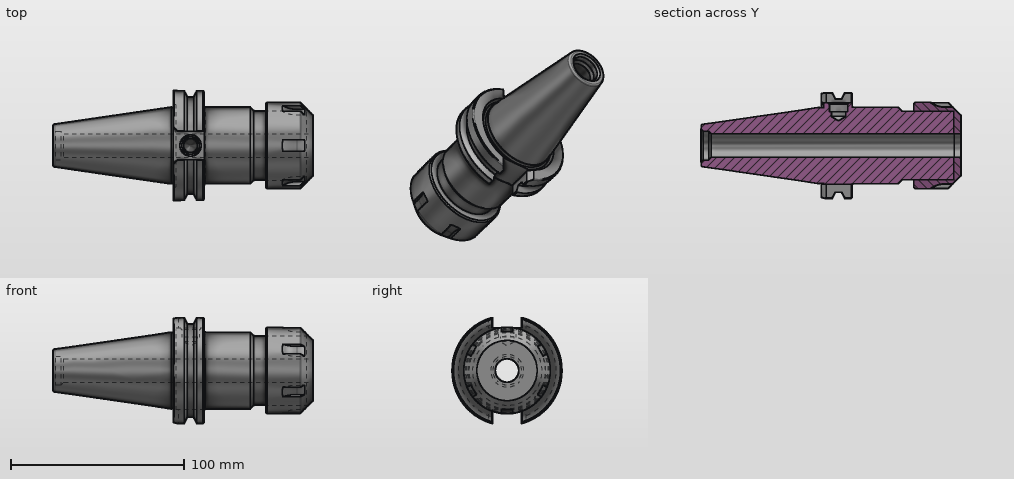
import cadquery as cq
import math

gauge_x = 68.25
flange_start_x = 69.3
groove_centre_x = gauge_x + 11.1
flange_end_x = gauge_x + 19.05
body_end_x = 113.7
nut_start_x = 122.7
cone_start_x = 142.6
overall_length = 150.05

gauge_diameter = 44.45
taper_ratio = 7 / 24
small_end_diameter = gauge_diameter - gauge_x * taper_ratio
small_end_fillet = 1.2
taper_relief_diameter = 43.94

flange_diameter = 63.5
flange_rear_fillet = 0.6
flange_front_chamfer = 0.9
groove_floor_diameter = 56.3
groove_floor_width = 3.6
groove_wall_angle = 27.5
recess_outer_diameter = 49.8
recess_floor_diameter = 47.0
recess_depth = (recess_outer_diameter - recess_floor_diameter) / 2
recess_floor_x = flange_start_x + recess_depth

slot_width = 16.2
slot_edge_chamfer = 0.6
slot_entry_width = 21.4
slot_entry_length = 2.9
upper_slot_floor = 24.75
lower_slot_floor = 22.4

radial_mouth_diameter = 12.3
radial_hole_diameter = 10.13
radial_hole_depth = 5.2
radial_pilot_diameter = 8.0
radial_pilot_depth = 8.0
drill_tip_angle = 118

body_diameter = 44.45
body_root_fillet = 0.5
neck_diameter = 40.0

bore_diameter = 13.39
pilot_diameter = 16.46
pilot_depth = 4.5
pilot_cone_length = (pilot_diameter - bore_diameter) / 2
mouth_diameter = 18.92
mouth_depth = (mouth_diameter - pilot_diameter) / 2

nut_diameter = 50.0
nut_rear_chamfer = 0.9
nut_end_diameter = 34.8
nut_shoulder_fillet = 0.7
nut_lip_thickness = 4.0
nose_end_x = overall_length - nut_lip_thickness

spanner_slot_count = 6
spanner_slot_width = 6.4
spanner_slot_start_x = 132.3
spanner_slot_flat_x = 140.5
spanner_slot_floor = 22.25
spanner_slot_rise = nut_diameter / 2 - spanner_slot_floor
spanner_slot_runout = spanner_slot_flat_x - spanner_slot_start_x
cutter_radius = (spanner_slot_runout**2 + spanner_slot_rise**2) / (2 * spanner_slot_rise)


def revolve_about_x(outline):
    """Turn a closed outline of the XY plane, Y being the radius, once around the X axis."""
    return outline.close().revolve(360, (0, 0, 0), (1, 0, 0))


def axial_cylinder(diameter, start_x, end_x):
    return cq.Workplane("YZ").workplane(offset=start_x).circle(diameter / 2).extrude(end_x - start_x)


def taper_blank():
    taper = revolve_about_x(
        cq.Workplane("XY")
        .lineTo(0, small_end_diameter / 2)
        .lineTo(gauge_x, gauge_diameter / 2)
        .lineTo(gauge_x, 0)
    )
    return taper.faces("<X").edges().fillet(small_end_fillet)


def flange_blank():
    flange = axial_cylinder(flange_diameter, flange_start_x, flange_end_x)
    flange = flange.faces("<X").edges().fillet(flange_rear_fillet)
    flange = flange.faces(">X").edges().chamfer(flange_front_chamfer)
    return flange.cut(gripper_groove()).cut(taper_recess())


def gripper_groove():
    floor_half_width = groove_floor_width / 2
    groove_depth = (flange_diameter - groove_floor_diameter) / 2
    mouth_half_width = floor_half_width + groove_depth * math.tan(math.radians(groove_wall_angle))
    return revolve_about_x(
        cq.Workplane("XY")
        .moveTo(groove_centre_x - mouth_half_width, flange_diameter / 2)
        .lineTo(groove_centre_x - floor_half_width, groove_floor_diameter / 2)
        .lineTo(groove_centre_x + floor_half_width, groove_floor_diameter / 2)
        .lineTo(groove_centre_x + mouth_half_width, flange_diameter / 2)
    )


def taper_recess():
    return revolve_about_x(
        cq.Workplane("XY")
        .moveTo(flange_start_x, 0)
        .lineTo(flange_start_x, recess_outer_diameter / 2)
        .lineTo(recess_floor_x, recess_floor_diameter / 2)
        .lineTo(recess_floor_x, 0)
    )


def front_blank():
    """Body with a filleted root at the flange, a 45 degree shoulder, the neck and the nose."""
    body_radius = body_diameter / 2
    neck_radius = neck_diameter / 2
    return revolve_about_x(
        cq.Workplane("XY")
        .moveTo(flange_end_x, 0)
        .lineTo(flange_end_x, body_radius + body_root_fillet)
        .radiusArc((flange_end_x + body_root_fillet, body_radius), -body_root_fillet)
        .lineTo(body_end_x, body_radius)
        .lineTo(body_end_x + body_radius - neck_radius, neck_radius)
        .lineTo(nose_end_x, neck_radius)
        .lineTo(nose_end_x, 0)
    )


def drive_slot(floor_radius):
    """Cutter for the slot on the +Z side: a flared entry, parallel walls, chamfered top and exit edges."""
    slot_length = flange_end_x - flange_start_x
    slot_height = flange_diameter / 2 - floor_radius
    half_width = slot_width / 2
    entry_half_width = slot_entry_width / 2
    exit_half_width = half_width + slot_edge_chamfer
    exit_start_x = flange_end_x - slot_edge_chamfer
    entry_end_x = flange_start_x + slot_entry_length
    slot = (
        cq.Workplane("XY")
        .workplane(offset=floor_radius)
        .moveTo(flange_start_x, -entry_half_width)
        .lineTo(entry_end_x, -half_width)
        .lineTo(exit_start_x, -half_width)
        .lineTo(flange_end_x, -exit_half_width)
        .lineTo(flange_end_x, exit_half_width)
        .lineTo(exit_start_x, half_width)
        .lineTo(entry_end_x, half_width)
        .lineTo(flange_start_x, entry_half_width)
        .close()
        .extrude(slot_height)
    )
    rim_height = math.sqrt((flange_diameter / 2) ** 2 - half_width**2)
    edge_bevel = (
        cq.Workplane("YZ")
        .workplane(offset=flange_start_x)
        .moveTo(-half_width, rim_height - slot_edge_chamfer)
        .lineTo(half_width, rim_height - slot_edge_chamfer)
        .lineTo(half_width + 2 * slot_edge_chamfer, rim_height + slot_edge_chamfer)
        .lineTo(-half_width - 2 * slot_edge_chamfer, rim_height + slot_edge_chamfer)
        .close()
        .extrude(slot_length)
    )
    return slot.union(edge_bevel)


def radial_hole():
    """Cutter for the countersunk, stepped hole with a drill tip, entering from +Z."""
    mouth_radius = radial_mouth_diameter / 2
    hole_radius = radial_hole_diameter / 2
    pilot_radius = radial_pilot_diameter / 2
    tip_length = pilot_radius / math.tan(math.radians(drill_tip_angle / 2))
    return (
        cq.Workplane("XZ")
        .lineTo(mouth_radius, 0)
        .lineTo(hole_radius, hole_radius - mouth_radius)
        .lineTo(hole_radius, -radial_hole_depth)
        .lineTo(pilot_radius, -radial_hole_depth)
        .lineTo(pilot_radius, -radial_pilot_depth)
        .lineTo(0, -radial_pilot_depth - tip_length)
        .close()
        .revolve(360, (0, 0, 0), (0, 1, 0))
        .translate((groove_centre_x, 0, upper_slot_floor))
    )


def axial_bore():
    return revolve_about_x(
        cq.Workplane("XY")
        .lineTo(0, mouth_diameter / 2)
        .lineTo(mouth_depth, pilot_diameter / 2)
        .lineTo(pilot_depth, pilot_diameter / 2)
        .lineTo(pilot_depth + pilot_cone_length, bore_diameter / 2)
        .lineTo(overall_length, bore_diameter / 2)
        .lineTo(overall_length, 0)
    )


def make_holder():
    holder = (
        taper_blank()
        .union(axial_cylinder(taper_relief_diameter, gauge_x, recess_floor_x))
        .union(flange_blank())
        .union(front_blank())
    )
    lower_slot = drive_slot(lower_slot_floor).rotate((0, 0, 0), (1, 0, 0), 180)
    return holder.cut(drive_slot(upper_slot_floor)).cut(lower_slot).cut(radial_hole()).cut(axial_bore())


def spanner_slot():
    """Cutter for the slot on the +Z side: a flat floor with a cutter run-out towards the flange."""
    return (
        cq.Workplane("XZ")
        .moveTo(spanner_slot_start_x, nut_diameter / 2)
        .radiusArc((spanner_slot_flat_x, spanner_slot_floor), -cutter_radius)
        .lineTo(overall_length, spanner_slot_floor)
        .lineTo(overall_length, nut_diameter / 2)
        .close()
        .extrude(spanner_slot_width / 2, both=True)
    )


def make_nut():
    nut_radius = nut_diameter / 2
    nut = revolve_about_x(
        cq.Workplane("XY")
        .moveTo(nut_start_x, neck_diameter / 2)
        .lineTo(nut_start_x, nut_radius - nut_rear_chamfer)
        .lineTo(nut_start_x + nut_rear_chamfer, nut_radius)
        .lineTo(cone_start_x, nut_radius)
        .lineTo(overall_length, nut_end_diameter / 2)
        .lineTo(overall_length, bore_diameter / 2)
        .lineTo(nose_end_x, bore_diameter / 2)
        .lineTo(nose_end_x, neck_diameter / 2)
    )
    shoulder_edge = cq.selectors.BoxSelector(
        (cone_start_x - nut_shoulder_fillet, -nut_diameter, -nut_diameter),
        (cone_start_x + nut_shoulder_fillet, nut_diameter, nut_diameter),
    )
    nut = nut.edges(shoulder_edge).edges("%CIRCLE").fillet(nut_shoulder_fillet)
    for index in range(spanner_slot_count):
        angle = index * 360 / spanner_slot_count
        nut = nut.cut(spanner_slot().rotate((0, 0, 0), (1, 0, 0), angle))
    return nut


holder = make_holder()
nut = make_nut()
result = cq.Compound.makeCompound([holder.val(), nut.val()])